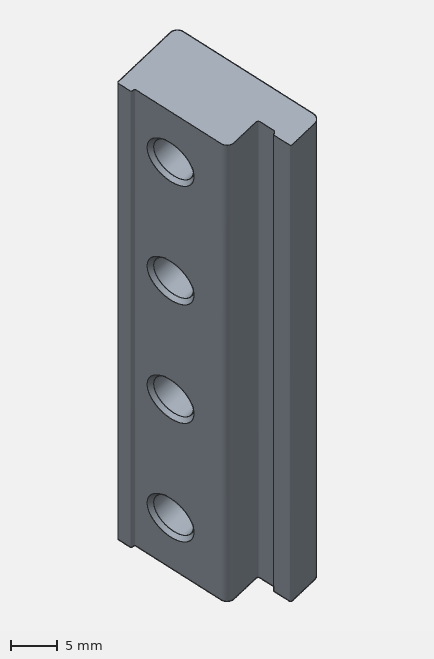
import cadquery as cq

width = 20.0
depth = 10.0
length = 77.0

seat_lip_width = 2.0
seat_lip_height = 0.5

wall_x = 15.0
clamp_lip_width = 2.5
clamp_lip_y = 5.0
relief_depth = 0.5

outer_radius = 1.0
lip_radius = 0.2
relief_radius = 0.29

hole_count = 4
hole_pitch = 20.0
hole_x = 7.0
hole_diameter = 5.5
countersink_diameter = 6.5
countersink_angle = 90.0


def clamp_bar():
    """Extruded bar with a seating lip, an undercut step and rounded edges."""
    clamp_lip_x = width - clamp_lip_width
    relief_y = clamp_lip_y + relief_depth
    outline = [
        (0, 0),
        (seat_lip_width, 0),
        (seat_lip_width, seat_lip_height),
        (wall_x, seat_lip_height),
        (wall_x, relief_y),
        (clamp_lip_x, relief_y),
        (clamp_lip_x, clamp_lip_y),
        (width, clamp_lip_y),
        (width, depth),
        (0, depth),
    ]
    bar = cq.Workplane("XY").polyline(outline).close().extrude(length)
    outer_corners = [
        (0, depth),
        (width, depth),
        (wall_x, seat_lip_height),
    ]
    relief_corners = [
        (wall_x, relief_y),
        (clamp_lip_x, relief_y),
    ]
    lip_corners = [
        (0, 0),
        (seat_lip_width, 0),
        (seat_lip_width, seat_lip_height),
        (clamp_lip_x, clamp_lip_y),
        (width, clamp_lip_y),
    ]
    bar = round_edges(bar, outer_corners, outer_radius)
    bar = round_edges(bar, relief_corners, relief_radius)
    return round_edges(bar, lip_corners, lip_radius)


def round_edges(body, corners, radius):
    """Round the lengthwise edges that run through the given XY corners."""
    edges = cq.Workplane()
    for x, y in corners:
        edges = edges.add(body.edges("|Z").edges(cq.NearestToPointSelector((x, y, length / 2))))
    return body.newObject(edges.vals()).fillet(radius)


def drill_screw_holes(body):
    """Drill the through holes, countersunk from the front face."""
    first_z = (length - (hole_count - 1) * hole_pitch) / 2
    centres = [(hole_x, first_z + i * hole_pitch) for i in range(hole_count)]
    front_face = cq.Workplane("XZ", origin=(0, seat_lip_height, 0))
    return front_face.add(body).pushPoints(centres).cskHole(
        hole_diameter, countersink_diameter, countersink_angle
    )


result = drill_screw_holes(clamp_bar())